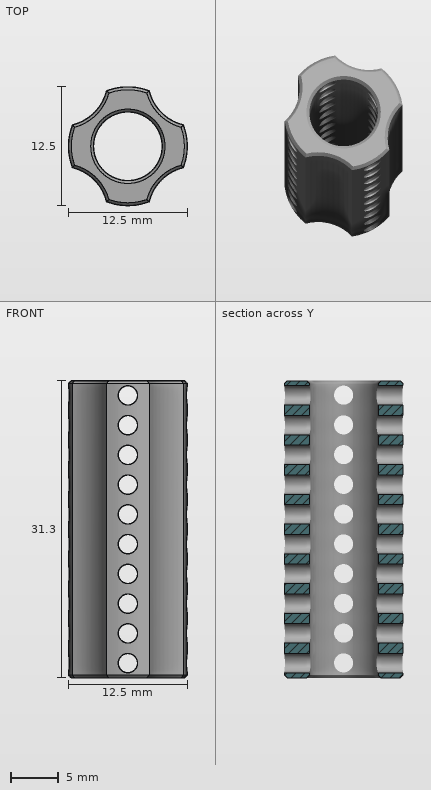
import cadquery as cq
import math

length = 31.25
outer_diameter = 12.5
bore_diameter = 7.2
edge_chamfer = 0.3

lobe_count = 4
lobe_width = 4.5
flute_floor_radius = 5.0

hole_diameter = 2.0
holes_per_row = 10
hole_pitch = length / holes_per_row

outer_radius = outer_diameter / 2
lobe_step = 360 / lobe_count
lobe_half_angle = math.degrees(math.asin(lobe_width / 2 / outer_radius))


def polar(radius, angle):
    """Point in the XY plane at a radius and an angle in degrees."""
    return (radius * math.cos(math.radians(angle)), radius * math.sin(math.radians(angle)))


def fluted_body():
    """Lobed bar: convex arcs on the outer circle joined by concave flute arcs."""
    outline = cq.Workplane("XY").moveTo(*polar(outer_radius, -lobe_half_angle))
    for lobe in range(lobe_count):
        middle = lobe * lobe_step
        lobe_end = polar(outer_radius, middle + lobe_half_angle)
        outline = outline.threePointArc(polar(outer_radius, middle), lobe_end)
        flute_floor = polar(flute_floor_radius, middle + lobe_step / 2)
        next_lobe = polar(outer_radius, middle + lobe_step - lobe_half_angle)
        outline = outline.threePointArc(flute_floor, next_lobe)
    return outline.close().extrude(length)


def cross_holes(plane):
    """One row of holes along the length, running right through the bar."""
    heights = [(0, hole_pitch * (index + 0.5)) for index in range(holes_per_row)]
    row = cq.Workplane(plane).pushPoints(heights).circle(hole_diameter / 2)
    return row.extrude(outer_diameter, both=True)


result = fluted_body().faces(">Z").workplane(origin=(0, 0, length)).hole(bore_diameter)
result = result.faces("<Z or >Z").edges().chamfer(edge_chamfer)

for plane in ("XZ", "YZ"):
    result = result.cut(cross_holes(plane))